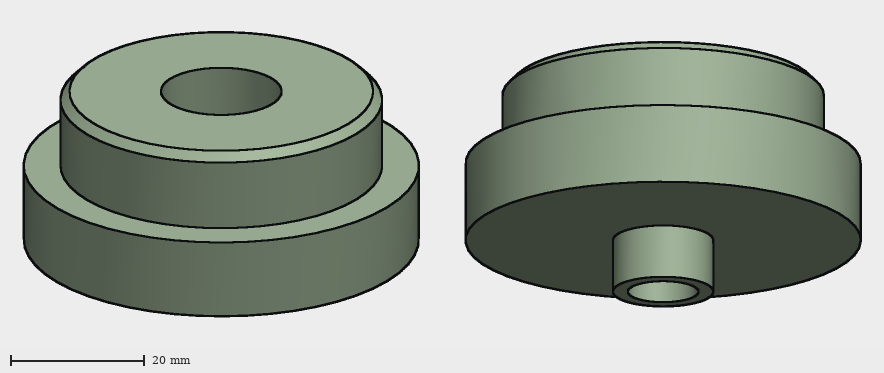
import cadquery as cq

stem_diameter = 15.0
stem_height = 8.0
flange_diameter = 59.0
flange_height = 12.0
boss_diameter = 48.0
boss_height = 12.0
boss_chamfer = 1.35

bore_diameter = 10.55
counterbore_diameter = 18.0
counterbore_depth = 11.0

total_height = stem_height + flange_height + boss_height

body = (
    cq.Workplane("XY")
    .circle(stem_diameter / 2)
    .extrude(stem_height)
    .faces(">Z")
    .workplane()
    .circle(flange_diameter / 2)
    .extrude(flange_height)
    .faces(">Z")
    .workplane()
    .circle(boss_diameter / 2)
    .extrude(boss_height)
)

body = body.faces(">Z").edges().chamfer(boss_chamfer)

bore = cq.Workplane("XY").circle(bore_diameter / 2).extrude(total_height)
counterbore = (
    cq.Workplane("XY", origin=(0, 0, total_height))
    .circle(counterbore_diameter / 2)
    .extrude(-counterbore_depth)
)

result = body.cut(bore).cut(counterbore)